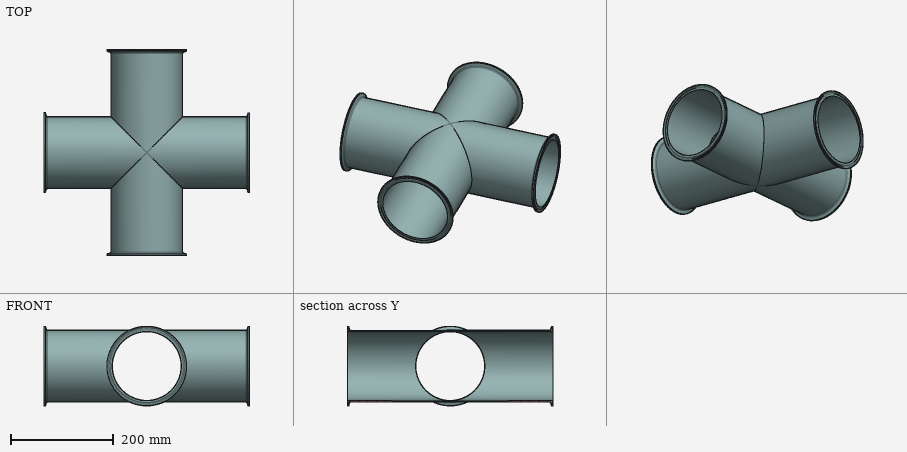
import cadquery as cq
import math

end_to_centre = 200.0
tube_outer_radius = 139.8 / 2
tube_inner_radius = 133.8 / 2

flange_radius = 155.0 / 2
rim_thickness = 2.85
cone_angle = math.radians(20)
neck_fillet_radius = 2.0

groove_centre_radius = 73.0
groove_width = 4.0
groove_floor_width = 2.3
groove_wall_angle = math.radians(70)

arm_count = 4

cone_drop = (flange_radius - tube_outer_radius) * math.tan(cone_angle)
neck_position = end_to_centre - rim_thickness - cone_drop

fillet_reach = neck_fillet_radius * math.tan((math.pi / 2 - cone_angle) / 2)

groove_floor_radius = groove_floor_width / 2 / math.sin(groove_wall_angle)
groove_lip_radius = (groove_width - groove_floor_width) / 2 / math.sin(groove_wall_angle)


def revolve_about_arm(profile):
    """Turn a closed profile (radius, position along the arm) about the Y axis."""
    return profile.close().revolve(360, (0, 0), (0, 1))


def make_on_all_arms(arm_feature):
    """Unite copies of a feature of the +Y arm on all arms."""
    combined = arm_feature
    for index in range(1, arm_count):
        combined = combined.union(arm_feature.rotate((0, 0, 0), (0, 0, 1), index * 360 / arm_count))
    return combined


def make_outer_arm():
    """Solid arm: tube, filleted neck, back cone and cylindrical rim."""
    tube_tangent = (tube_outer_radius, neck_position - fillet_reach)
    cone_tangent = (
        tube_outer_radius + fillet_reach * math.cos(cone_angle),
        neck_position + fillet_reach * math.sin(cone_angle),
    )
    half_turn = (math.pi / 2 - cone_angle) / 2
    arc_middle = (
        tube_tangent[0] + neck_fillet_radius * (1 - math.cos(half_turn)),
        tube_tangent[1] + neck_fillet_radius * math.sin(half_turn),
    )
    profile = (
        cq.Workplane("XY")
        .lineTo(tube_outer_radius, 0)
        .lineTo(*tube_tangent)
        .threePointArc(arc_middle, cone_tangent)
        .lineTo(flange_radius, end_to_centre - rim_thickness)
        .lineTo(flange_radius, end_to_centre)
        .lineTo(0, end_to_centre)
    )
    return revolve_about_arm(profile)


def make_bore():
    """Straight bore through one pair of opposite arms, along Y."""
    return cq.Workplane("XZ").circle(tube_inner_radius).extrude(end_to_centre, both=True)


def make_groove():
    """Ring cut from the sealing face: concave floor with a convex lip on either side."""

    def at(offset, depth):
        return (groove_centre_radius + offset, end_to_centre - depth)

    half_angle = groove_wall_angle / 2
    lip_middle_offset = groove_width / 2 - groove_lip_radius * math.sin(half_angle)
    lip_middle_depth = groove_lip_radius * (1 - math.cos(half_angle))
    floor_edge_offset = groove_floor_width / 2
    floor_edge_depth = groove_lip_radius * (1 - math.cos(groove_wall_angle))
    groove_depth = floor_edge_depth + groove_floor_radius * (1 - math.cos(groove_wall_angle))

    profile = (
        cq.Workplane("XY")
        .moveTo(*at(-groove_width / 2, 0))
        .threePointArc(at(-lip_middle_offset, lip_middle_depth), at(-floor_edge_offset, floor_edge_depth))
        .threePointArc(at(0, groove_depth), at(floor_edge_offset, floor_edge_depth))
        .threePointArc(at(lip_middle_offset, lip_middle_depth), at(groove_width / 2, 0))
    )
    return revolve_about_arm(profile)


def make_mitred_arm():
    """Outer arm limited to the quarter of the cross around +Y, so arms meet on 45 degree planes."""
    quarter = (
        cq.Workplane("XY")
        .polyline([(0, 0), (end_to_centre, end_to_centre), (-end_to_centre, end_to_centre)])
        .close()
        .extrude(flange_radius, both=True)
    )
    return make_outer_arm().intersect(quarter)


bore = make_bore()
cross_bore = bore.rotate((0, 0, 0), (0, 0, 1), 90)

result = make_on_all_arms(make_mitred_arm())
result = result.cut(bore).cut(cross_bore)
result = result.cut(make_on_all_arms(make_groove()))